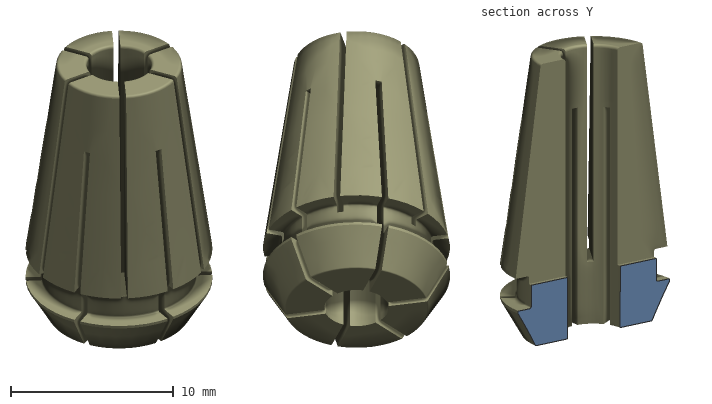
import cadquery as cq
import math

height = 18.0
body_radius = 11.5 / 2
bore_radius = 3.98 / 2
bore_mouth_round = 0.2
top_round = 0.18

taper_base_z = 4.5
taper_half_angle = 8.0

neck_radius = 4.75
neck_round = 0.1

collar_top_z = 2.5
rim_height = 0.18
collar_half_angle = 30.0
collar_bottom_round = 0.1

slot_width = 0.41
slots_per_end = 6
top_slot_floor_z = 4.0
bottom_slot_roof_z = 14.0

cone_top_z = collar_top_z - rim_height
collar_bottom_radius = body_radius - cone_top_z * math.tan(math.radians(collar_half_angle))
taper_height = height - taper_base_z
taper_top_radius = body_radius - taper_height * math.tan(math.radians(taper_half_angle))


def make_body():
    """Revolved body with its rounded end edges and groove corners."""
    body = (
        cq.Workplane("XZ")
        .moveTo(0, 0)
        .lineTo(collar_bottom_radius, 0)
        .lineTo(body_radius, cone_top_z)
        .lineTo(body_radius, collar_top_z)
        .lineTo(neck_radius, collar_top_z)
        .lineTo(neck_radius, taper_base_z)
        .lineTo(body_radius, taper_base_z)
        .lineTo(taper_top_radius, height)
        .lineTo(0, height)
        .close()
        .revolve(360, (0, 0, 0), (0, 1, 0))
    )
    body = body.faces(">Z").edges("%CIRCLE").fillet(top_round)
    body = body.faces("<Z").edges("%CIRCLE").fillet(collar_bottom_round)
    neck = body.faces("%CYLINDER").faces(cq.selectors.AreaNthSelector(-1))
    return neck.edges("%CIRCLE").fillet(neck_round)


def cut_bore(body):
    """Through bore with a rounded mouth at the top."""
    bored = body.cut(cq.Workplane("XY").circle(bore_radius).extrude(height))
    mouth = bored.faces(">Z").edges(cq.selectors.RadiusNthSelector(0))
    return mouth.fillet(bore_mouth_round)


def radial_slots(bottom_z, top_z, first_angle):
    """Evenly spaced radial slot cutters running from the axis outward."""
    cutter = (
        cq.Workplane("XY", origin=(0, 0, bottom_z))
        .rect(2 * body_radius + slot_width, slot_width)
        .extrude(top_z - bottom_z)
    )
    slots = cq.Workplane("XY")
    for index in range(slots_per_end // 2):
        angle = first_angle + index * 360 / slots_per_end
        slots = slots.add(cutter.rotate((0, 0, 0), (0, 0, 1), angle))
    return slots.combine()


half_step = 180 / slots_per_end
top_slots = radial_slots(top_slot_floor_z, height, 0)
bottom_slots = radial_slots(0, bottom_slot_roof_z, half_step)

result = cut_bore(make_body()).cut(top_slots).cut(bottom_slots)